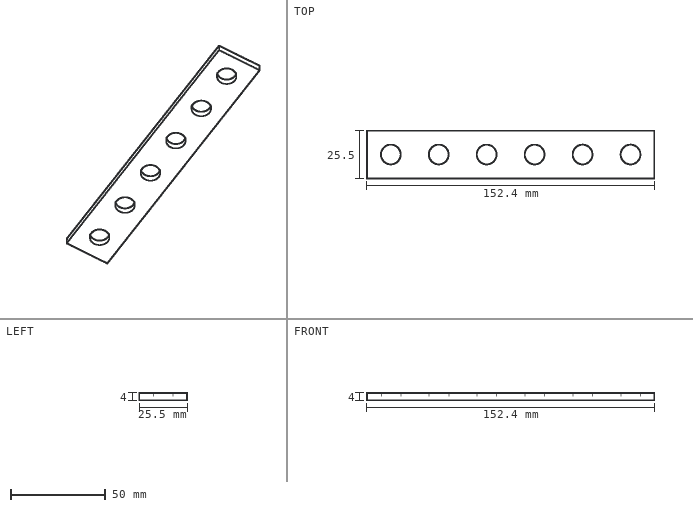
import cadquery as cq

length = 152.4
width = 25.5
thickness = 4.0

hole_count = 6
hole_diameter = 10.4
hole_pitch = length / hole_count

bar = cq.Workplane("XY").box(length, width, thickness)

result = (
    bar.faces(">Z")
    .workplane()
    .rarray(hole_pitch, width, hole_count, 1)
    .hole(hole_diameter)
)